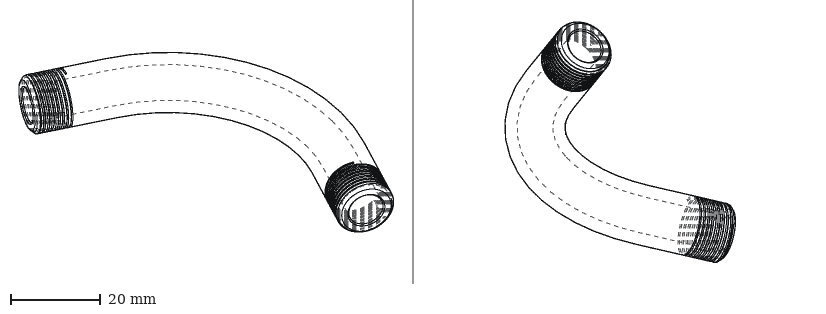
import cadquery as cq
import math

overall_length = 66.75
outer_diameter = 13.5
bore_diameter = 8.0
straight_length = 20.0
outer_radius = outer_diameter / 2
bore_radius = bore_diameter / 2
bend_radius = overall_length - outer_radius - straight_length

outer_chamfer = 0.95
bore_chamfer = 0.35

thread_pitch = 1.0
thread_length = 9.15
thread_overrun = 0.8
end_groove_depth = 0.6
groove_height = 0.75
groove_half_angle = 30.0
taper_angle = math.degrees(math.atan(1 / 32))


def bend():
    """Quarter-circle tube, centred on the origin."""
    path = cq.Workplane("XY").moveTo(-bend_radius, 0).radiusArc((0, bend_radius), bend_radius)
    start = cq.Plane(origin=(-bend_radius, 0, 0), xDir=(0, 0, 1), normal=(0, 1, 0))
    return cq.Workplane(start).circle(outer_radius).circle(bore_radius).sweep(path)


def thread_groove():
    """V groove along +Z, from its shallow inner end at Z = 0 to past the tube end."""
    taper = math.tan(math.radians(taper_angle))
    inner_root_radius = outer_radius - end_groove_depth + thread_length * taper
    half_width = groove_height * math.tan(math.radians(groove_half_angle))
    helix = cq.Wire.makeHelix(
        thread_pitch,
        thread_length + thread_overrun,
        inner_root_radius,
        angle=-taper_angle,
    )
    profile = cq.Workplane("XZ").polyline(
        [
            (inner_root_radius, 0),
            (inner_root_radius + groove_height, half_width),
            (inner_root_radius + groove_height, -half_width),
        ]
    ).close()
    return profile.sweep(cq.Workplane(helix), isFrenet=True)


def threaded_end():
    """Straight tube from Z = 0 to its chamfered tip; the thread's inner end lies on +X."""
    body = cq.Workplane("XY").circle(outer_radius).extrude(straight_length)
    body = body.faces(">Z").chamfer(outer_chamfer)
    body = body.faces(">Z").workplane().hole(bore_diameter)
    bore_edge = cq.selectors.RadiusNthSelector(0)
    body = body.faces(">Z").edges(bore_edge).chamfer(bore_chamfer)
    return body.cut(thread_groove().translate((0, 0, straight_length - thread_length)))


def place_end(end, origin, outward):
    """Stand an end on the bend so that it points outward, with its +X side turned to +Z."""
    plane = cq.Plane(origin=origin, xDir=(0, 0, 1), normal=outward)
    return end.val().moved(cq.Location(plane))


end = threaded_end()
result = (
    bend()
    .union(place_end(end, (-bend_radius, 0, 0), (0, -1, 0)))
    .union(place_end(end, (0, bend_radius, 0), (1, 0, 0)))
)